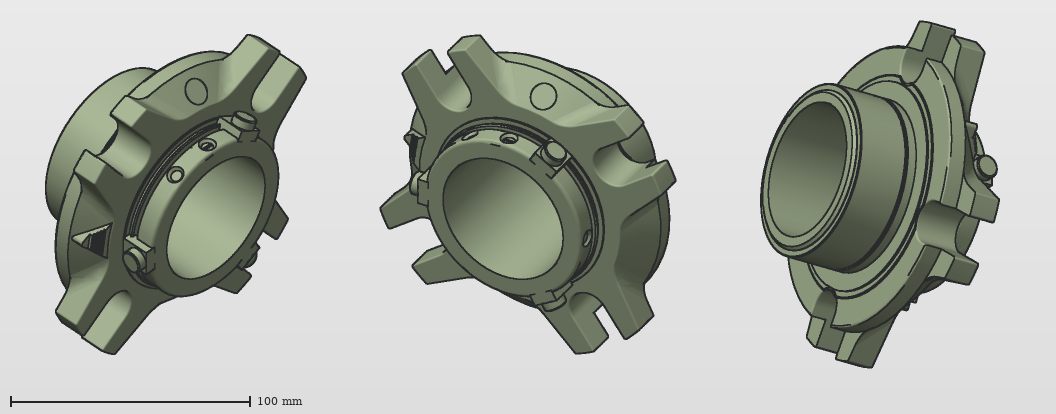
import cadquery as cq
import math

BARREL_START = 1.6
GROOVE_START = 24.3
GROOVE_END = 25.4
PILOT_START = 29.5
SEAT_START = 30.3
FLANGE_START = 30.7
PLATE_START = 38.6
PLATE_END = 51.1
LIP_END = 51.9
RING_START = 53.1
RING_END = 54.2
COLLAR_START = 55.3
COLLAR_END = 65.3

BORE_R = 58.0 / 2
SHAFT_SLEEVE_R = 60.3 / 2
NOSE_R = 69.2 / 2
BARREL_R = 74.9 / 2
GROOVE_R = 73.1 / 2
PILOT_R = 90.5 / 2
SEAT_R = 48.2
FLANGE_R = 60.7
CONE_END_R = FLANGE_R - (PLATE_END - PLATE_START)
LIP_R = 40.6
HUB_R = 76.4 / 2
RING_R = 77.8 / 2
COLLAR_R = 37.9

NOSE_CHAMFER = 1.4
BARREL_CHAMFER = 0.4
SEAT_CHAMFER = 0.3
EDGE_ROUND = 0.8
COLLAR_ROUND = 1.6

SLOT_ANGLES = [36.5 + 90 * i for i in range(4)]
SLOT_WIDTH = 18.1
SLOT_R = SLOT_WIDTH / 2
SLOT_CENTRE_R = 55.3
TAB_TIP_R = 73.1
TAB_OUTER_ANGLE = 15.2
TAB_TAPER = 9.5
TAB_ROOT_R = 44.8
TAB_ROOT_FILLET = 6.8
TAB_TIP_FILLET = 1.0

SCREW_X = 60.3
CLIP_ANGLES = [60, 180, 300]
CLIP_WIDTH = 12.1
CLIP_BOTTOM_R = 36.1
CLIP_TOP_R = 41.2
BUTTON_D = 10.0
BUTTON_TOP_R = 45.4
BUTTON_CHAMFER = 0.5
SCREW_ANGLES = [0, 120, 240]
SLOTTED_SCREW_ANGLE = 90
SCREW_D = 5.0
COUNTERSINK_D = 7.6
SCREW_TOP_R = 36.4
SCREW_SLOT_WIDTH = 1.1
SCREW_SLOT_DEPTH = 0.5

PLUG_ANGLE = 81.3
PLUG_X = 45.6
PLUG_D = 11.3
PLUG_DEPTH = 4.1
RIDGE_ANGLE = 171
RIDGE_CREST_R = 59.9
RIDGE_CREST_D = 3.4
RIDGE_ROOT_R = 44.2
RIDGE_SLOPE = 35
CREST_END = 45.5
LEDGE_R = 55.8
LEDGE_END = 47.0
FOOT_R = 51.6
FOOT_START = 49.5
RIDGE_END = 50.3
STAIR_STEPS = 4


def disc(x_start, x_end, radius):
    """Solid cylinder on the shaft axis between two stations."""
    return cq.Workplane("YZ", origin=(x_start, 0, 0)).circle(radius).extrude(x_end - x_start)


def turn(shape, angle):
    """Rotate a shape about the shaft axis, from +Y toward +Z."""
    return shape.rotate((0, 0, 0), (1, 0, 0), angle)


def polar(radius, angle):
    """Cartesian pair for a radius and an angle in degrees."""
    return (radius * math.cos(math.radians(angle)), radius * math.sin(math.radians(angle)))


def make_barrel():
    """Nose, barrel with its groove, and the pilot steps in front of the flange."""
    nose = disc(0, BARREL_START, NOSE_R).faces("<X").edges().chamfer(NOSE_CHAMFER)
    barrel = disc(BARREL_START, GROOVE_START, BARREL_R).edges().chamfer(BARREL_CHAMFER)
    groove = disc(GROOVE_START, GROOVE_END, GROOVE_R)
    shoulder = disc(GROOVE_END, PILOT_START, BARREL_R)
    pilot = disc(PILOT_START, PLATE_START, PILOT_R)
    return nose.union(barrel).union(groove).union(shoulder).union(pilot)


def slot_cutter(x_start, x_end):
    """The four open-ended bolt slots."""
    length = TAB_TIP_R - SLOT_CENTRE_R + SLOT_R
    plane = cq.Workplane("YZ", origin=(x_start, 0, 0))
    one = plane.center(SLOT_CENTRE_R, 0).circle(SLOT_R).extrude(x_end - x_start)
    one = one.union(
        plane.center(SLOT_CENTRE_R + length / 2, 0).rect(length, SLOT_WIDTH).extrude(x_end - x_start)
    )
    cutter = turn(one, SLOT_ANGLES[0])
    for angle in SLOT_ANGLES[1:]:
        cutter = cutter.union(turn(one, angle))
    return cutter


def make_flange():
    """Front flange disc with its raised seat, cut by the slots."""
    cutter = slot_cutter(SEAT_START, PLATE_START)
    flange = disc(FLANGE_START, PLATE_START, FLANGE_R).cut(cutter)
    flange = flange.faces("<X").edges().fillet(EDGE_ROUND)
    seat = disc(SEAT_START, FLANGE_START, SEAT_R).faces("<X").edges().chamfer(SEAT_CHAMFER, 2 * SEAT_CHAMFER)
    seat = seat.cut(cutter)
    return flange.union(seat)


def make_plate():
    """45 degree cone carrying a pair of tabs at every slot."""
    depth = PLATE_END - PLATE_START
    plate = (
        cq.Workplane("XY")
        .polyline([(PLATE_START, 0), (PLATE_START, FLANGE_R), (PLATE_END, CONE_END_R), (PLATE_END, 0)])
        .close()
        .revolve(360, (0, 0, 0), (1, 0, 0))
    )
    tip_u, tip_v = polar(TAB_TIP_R, TAB_OUTER_ANGLE)
    root_v = tip_v + (tip_u - TAB_ROOT_R) * math.tan(math.radians(TAB_TAPER))
    tab_pair = (
        cq.Workplane("YZ", origin=(PLATE_START, 0, 0))
        .moveTo(0, 0)
        .lineTo(TAB_ROOT_R, root_v)
        .lineTo(tip_u, tip_v)
        .threePointArc((TAB_TIP_R, 0), (tip_u, -tip_v))
        .lineTo(TAB_ROOT_R, -root_v)
        .close()
        .extrude(depth)
    )
    for angle in SLOT_ANGLES:
        plate = plate.union(turn(tab_pair, angle))
    mid_depth = cq.selectors.BoxSelector(
        (PLATE_START + depth / 3, -TAB_TIP_R, -TAB_TIP_R), (PLATE_END - depth / 3, TAB_TIP_R, TAB_TIP_R)
    )
    plate = plate.edges(mid_depth).edges("not(|X or #X)").fillet(TAB_ROOT_FILLET)
    plate = plate.cut(slot_cutter(PLATE_START, PLATE_END))
    tip_corners = plate.edges("|X").filter(
        lambda edge: math.hypot(edge.Center().y, edge.Center().z) > TAB_TIP_R - TAB_TIP_FILLET
    )
    plate = tip_corners.fillet(TAB_TIP_FILLET)
    return plate.faces(">X").edges().fillet(EDGE_ROUND)


def make_collar():
    """Lip, hub and snap ring behind the plate, then the drive collar past a narrow gap."""
    lip = disc(PLATE_END, LIP_END, LIP_R)
    hub = disc(LIP_END, RING_END, HUB_R)
    ring_mid = (RING_START + RING_END) / 2
    ring = (
        cq.Workplane("XY")
        .moveTo(RING_START, 0)
        .lineTo(RING_START, HUB_R)
        .lineTo(ring_mid, RING_R)
        .lineTo(RING_END, HUB_R)
        .lineTo(RING_END, 0)
        .close()
        .revolve(360, (0, 0, 0), (1, 0, 0))
    )
    collar = disc(COLLAR_START, COLLAR_END, COLLAR_R).edges().fillet(COLLAR_ROUND)
    sleeve = disc(RING_END, COLLAR_START, SHAFT_SLEEVE_R)
    return lip.union(hub).union(ring).union(sleeve).union(collar)


def make_clip():
    """Setting clip with its round button, pointing along +Y."""
    block = cq.Workplane("XY").box(
        COLLAR_END - LIP_END, CLIP_TOP_R - CLIP_BOTTOM_R, CLIP_WIDTH, centered=(False, False, True)
    ).translate((LIP_END, CLIP_BOTTOM_R, 0))
    button = (
        cq.Workplane("XZ", origin=(SCREW_X, BUTTON_TOP_R, 0))
        .circle(BUTTON_D / 2)
        .extrude(BUTTON_TOP_R - CLIP_BOTTOM_R)
        .faces(">Y")
        .edges()
        .chamfer(BUTTON_CHAMFER)
    )
    return block.union(button)


def make_countersink():
    """Conical recess above a set screw, pointing along +Y."""
    cone = cq.Solid.makeCone(
        SCREW_D / 2, COUNTERSINK_D / 2, COLLAR_R - SCREW_TOP_R,
        pnt=cq.Vector(SCREW_X, SCREW_TOP_R, 0), dir=cq.Vector(0, 1, 0),
    )
    return cq.Workplane(obj=cone)


def make_screw_slot():
    """Driver slot across the top of a set screw, pointing along +Y."""
    return cq.Workplane("XY").box(SCREW_SLOT_WIDTH, 2 * SCREW_SLOT_DEPTH, SCREW_D).translate(
        (SCREW_X, SCREW_TOP_R, 0)
    )


def make_plug():
    """Flat plug set square to the cone."""
    cone_r = FLANGE_R - (PLUG_X - PLATE_START)
    plug = cq.Solid.makeCylinder(
        PLUG_D / 2, PLUG_DEPTH, pnt=cq.Vector(PLUG_X, cone_r, 0), dir=cq.Vector(-1, -1, 0)
    )
    return turn(cq.Workplane(obj=plug), PLUG_ANGLE)


def make_ridge():
    """Round-topped roof ridge along X that dies into the cone and steps down at its back end."""
    crest = RIDGE_CREST_D / 2
    slope = math.radians(RIDGE_SLOPE)
    centre = RIDGE_CREST_R - crest
    side_y = centre + crest * math.sin(slope)
    side_z = crest * math.cos(slope)
    foot_z = side_z + (side_y - RIDGE_ROOT_R) * math.tan(slope)
    ridge = (
        cq.Workplane("YZ", origin=(PLATE_START, 0, 0))
        .moveTo(RIDGE_ROOT_R, foot_z)
        .lineTo(side_y, side_z)
        .threePointArc((RIDGE_CREST_R, 0), (side_y, -side_z))
        .lineTo(RIDGE_ROOT_R, -foot_z)
        .close()
        .extrude(RIDGE_END - PLATE_START)
    )
    run = (FOOT_START - LEDGE_END) / (STAIR_STEPS - 1)
    rise = (LEDGE_R - FOOT_R) / STAIR_STEPS
    treads = [(CREST_END, LEDGE_R)]
    for step in range(STAIR_STEPS):
        treads.append((LEDGE_END + step * run, LEDGE_R - (step + 1) * rise))
    for tread_x, tread_r in treads:
        length = RIDGE_END - tread_x
        height = RIDGE_CREST_R - tread_r
        clearance = cq.Workplane("XY").box(length, height, 2 * foot_z, centered=(False, False, True))
        ridge = ridge.cut(clearance.translate((tread_x, tread_r, 0)))
    return turn(ridge, RIDGE_ANGLE)


body = make_barrel().union(make_flange()).union(make_plate()).union(make_collar())
body = body.union(make_plug()).union(make_ridge())
for clip_angle in CLIP_ANGLES:
    body = body.union(turn(make_clip(), clip_angle))
for screw_angle in SCREW_ANGLES + [SLOTTED_SCREW_ANGLE]:
    body = body.cut(turn(make_countersink(), screw_angle))
body = body.cut(turn(make_screw_slot(), SLOTTED_SCREW_ANGLE))

result = body.cut(disc(0, COLLAR_END, BORE_R))